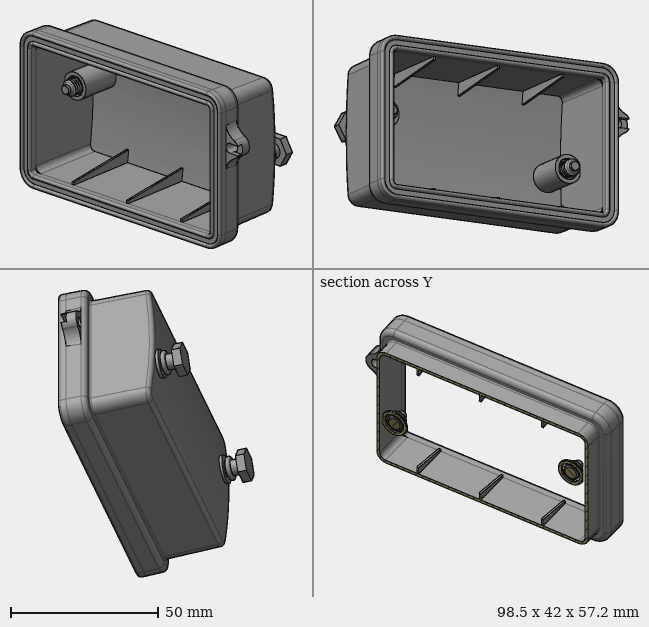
import cadquery as cq
import math


flange_half_x = 46.3
flange_half_z = 28.62
flange_corner = 6.3
flange_depth = 10.2
flange_straight = 3.0
flange_back_fillet = 2.0
draft = 1.0

bead_radius = 0.8
bead_width = 2 * bead_radius
groove_width = 1.9
rim_width = 2 * bead_width + groove_width

box_half_x = 42.7
box_half_z = 25.0
box_corner = 4.1
box_root_fillet = 0.5
back_peak = 33.0
back_radius = 172.4
back_fillet = 1.6
back_wall = 1.5

cavity_half_x = flange_half_x - rim_width
cavity_half_z = flange_half_z - rim_width
mouth_corner = flange_corner - rim_width
cavity_corner = 2.4
cavity_draft = 0.5
cavity_peak = back_peak - back_wall

rib_middle_x = 0.9
rib_pitch = 25.0
rib_thickness = 0.8
rib_front_height = 1.0
rib_back_height = 4.8
rib_back = 30.5
rib_root = 0.3

tab_z = 9.4
tab_hole_radius = 1.8
tab_hole_x = 48.2
tab_tip_radius = 3.7
tab_tip_x = 48.5
tab_flare_radius = 6.9
tab_flare_angle = 65.0
tab_front = 3.0
tab_back = 8.4
tab_slot_depth = 2.0

screw_x = 35.5
screw_z = 5.5
boss_radius = 5.0
boss_front = 16.3
boss_flat = 4.6
pad_back = 33.9
counterbore_radius = 3.6
counterbore_depth = 1.8

left_ring_y = 35.4
right_ring_y = 35.1
head_back = 42.0
head_thickness = 3.1
head_flats = 9.95
shank_radius = 2.8
ring_radius = 0.9
ring_outer_radius = 4.2
thread_root_radius = 2.2
thread_radius = 3.0
thread_pitch = 1.0
thread_turns = 5
thread_back = boss_front + counterbore_depth
thread_front = thread_back - thread_turns * thread_pitch
nose_radius = 1.6
nose_length = 1.2
nose_cone = 0.6


def plane_at(y):
    """Workplane at depth y that faces +Y: local x is X, local y is -Z."""
    return cq.Workplane(cq.Plane(origin=(0, y, 0), xDir=(1, 0, 0), normal=(0, 1, 0)))


def rounded_block(half_x, half_z, corner, front, back, taper=0.0):
    """Block with rounded corners, centred on the Y axis, whose sides draw in by taper degrees."""
    outline = cq.Sketch().rect(2 * half_x, 2 * half_z).vertices().fillet(corner)
    return plane_at(front).placeSketch(outline).extrude(back - front, taper=taper)


def dome_cylinder(peak, radius):
    """Cylinder along X whose rearmost line lies at Y = peak."""
    return (
        cq.Workplane("YZ", origin=(-flange_half_x, peak - radius, 0))
        .circle(radius)
        .extrude(2 * flange_half_x)
    )


def bead(inset):
    """Rounded bead that follows the flange outline, with its outer edge at the given inset."""
    middle = inset + bead_radius
    half_x = flange_half_x - middle
    half_z = flange_half_z - middle
    tray = rounded_block(half_x, half_z, flange_corner - middle, bead_radius, bead_width)
    path = tray.faces("<Y").wires()
    section = cq.Workplane("YZ", origin=(0, bead_radius, half_z)).circle(bead_radius)
    return section.sweep(path)


def flange():
    front_part = rounded_block(flange_half_x, flange_half_z, flange_corner, bead_radius, flange_straight)
    back_part = rounded_block(
        flange_half_x, flange_half_z, flange_corner, flange_straight, flange_depth, draft
    )
    return front_part.union(back_part.faces(">Y").edges().fillet(flange_back_fillet))


def box():
    blank = rounded_block(box_half_x, box_half_z, box_corner, flange_depth, pad_back, draft)
    shaped = blank.intersect(dome_cylinder(back_peak, back_radius))
    return shaped.faces(">Y").edges().fillet(back_fillet)


def cavity():
    mouth = rounded_block(cavity_half_x, cavity_half_z, mouth_corner, 0, flange_straight)
    space = rounded_block(cavity_half_x, cavity_half_z, cavity_corner, flange_straight, back_peak, cavity_draft)
    return mouth.union(space.intersect(dome_cylinder(cavity_peak, back_radius - back_wall)))


def rib(x, side):
    """Tapered rib on the upper (side = 1) or lower (side = -1) cavity wall."""
    root = side * (cavity_half_z + rib_root)
    front_crest = side * (cavity_half_z - rib_front_height)
    back_crest = side * (cavity_half_z - rib_back_height)
    profile = [
        (flange_straight, root),
        (flange_straight, front_crest),
        (rib_back, back_crest),
        (rib_back, root),
    ]
    return (
        cq.Workplane("YZ", origin=(x - rib_thickness / 2, 0, 0))
        .polyline(profile)
        .close()
        .extrude(rib_thickness)
    )


def tab():
    angle = math.radians(tab_flare_angle)
    reach = tab_tip_radius + tab_flare_radius
    flare_x = tab_tip_x + reach * math.cos(angle)
    flare_z = reach * math.sin(angle)
    root_x = flange_half_x - bead_width

    def on_flare(turn):
        return (flare_x - tab_flare_radius * math.cos(turn), flare_z - tab_flare_radius * math.sin(turn))

    edge = on_flare(0)
    middle = on_flare(angle / 2)
    join = on_flare(angle)
    plate = (
        cq.Workplane("XZ", origin=(0, tab_back, tab_z))
        .moveTo(root_x, edge[1])
        .lineTo(*edge)
        .threePointArc(middle, join)
        .threePointArc((tab_tip_x + tab_tip_radius, 0), (join[0], -join[1]))
        .threePointArc((middle[0], -middle[1]), (edge[0], -edge[1]))
        .lineTo(root_x, -edge[1])
        .close()
        .extrude(tab_back - tab_front)
    )
    slot = cq.Workplane("XY").box(
        2 * tab_tip_radius, tab_slot_depth, 2 * tab_hole_radius, centered=(False, False, True)
    ).translate((tab_hole_x, tab_front, tab_z))
    return plate.cut(slot)


def cylinder(x, z, radius, front, back):
    return plane_at(front).center(x, -z).circle(radius).extrude(back - front)


def boss(side):
    """Screw boss at the left (side = -1) or right (side = 1) end, with a flat next to the end wall."""
    x = side * screw_x
    z = -side * screw_z
    inside = cylinder(x, z, boss_radius, boss_front, back_peak - back_wall / 2)
    keep_width = boss_radius + boss_flat
    keep = (
        cq.Workplane("XY")
        .box(keep_width, 2 * back_peak, 2 * boss_radius)
        .translate((x + side * (boss_flat - keep_width / 2), back_peak, z))
    )
    pad = cylinder(x, z, boss_radius, back_peak - back_wall / 2, pad_back)
    return inside.intersect(keep).union(pad)


def screw_hole(side):
    x = side * screw_x
    z = -side * screw_z
    bore = cylinder(x, z, shank_radius, 0, head_back)
    counterbore = cylinder(x, z, counterbore_radius, 0, boss_front + counterbore_depth)
    return bore.union(counterbore)


def box_root_edges():
    """Selector for the edges where the box meets the back of the flange."""
    reach_x = box_half_x + box_root_fillet
    reach_z = box_half_z + box_root_fillet
    return cq.selectors.BoxSelector(
        (-reach_x, flange_depth - box_root_fillet, -reach_z),
        (reach_x, flange_depth + box_root_fillet, reach_z),
    )


def make_housing():
    shell = flange().union(box()).edges(box_root_edges()).fillet(box_root_fillet)
    shell = shell.cut(cavity())
    for inset in (0, bead_width + groove_width):
        shell = shell.union(bead(inset))
    for step in (-1, 0, 1):
        for side in (-1, 1):
            shell = shell.union(rib(rib_middle_x + step * rib_pitch, side))
    shell = shell.union(tab())
    shell = shell.cut(cylinder(tab_hole_x, tab_z, tab_hole_radius, tab_front, tab_back))
    for side in (-1, 1):
        shell = shell.union(boss(side)).cut(screw_hole(side))
    return shell


def make_screw(side, ring_y):
    """Hexagon-head screw with its ring centred at ring_y."""
    ring_inset = shank_radius - (ring_outer_radius - ring_radius)
    ring_half_width = math.sqrt(ring_radius**2 - ring_inset**2)
    tip_y = thread_front - nose_cone - nose_length
    profile = cq.Workplane("XY").moveTo(0, tip_y)
    profile = profile.lineTo(nose_radius, tip_y)
    profile = profile.lineTo(nose_radius, thread_front - nose_cone)
    profile = profile.lineTo(thread_root_radius, thread_front)
    for turn in range(thread_turns):
        start = thread_front + turn * thread_pitch
        profile = profile.lineTo(thread_radius, start + thread_pitch / 2)
        profile = profile.lineTo(thread_root_radius, start + thread_pitch)
    profile = profile.lineTo(shank_radius, thread_back)
    profile = profile.lineTo(shank_radius, ring_y - ring_half_width)
    profile = profile.threePointArc((ring_outer_radius, ring_y), (shank_radius, ring_y + ring_half_width))
    profile = profile.lineTo(shank_radius, head_back - head_thickness)
    profile = profile.lineTo(0, head_back - head_thickness).close()
    shaft = profile.revolve(360, (0, 0, 0), (0, 1, 0))
    head = (
        plane_at(head_back - head_thickness)
        .polygon(6, head_flats / math.cos(math.pi / 6))
        .extrude(head_thickness)
    )
    return shaft.union(head).translate((side * screw_x, 0, -side * screw_z))


housing = make_housing()
screws = [make_screw(side, ring_y) for side, ring_y in ((-1, left_ring_y), (1, right_ring_y))]
result = cq.Compound.makeCompound([housing.val(), *[screw.val() for screw in screws]])